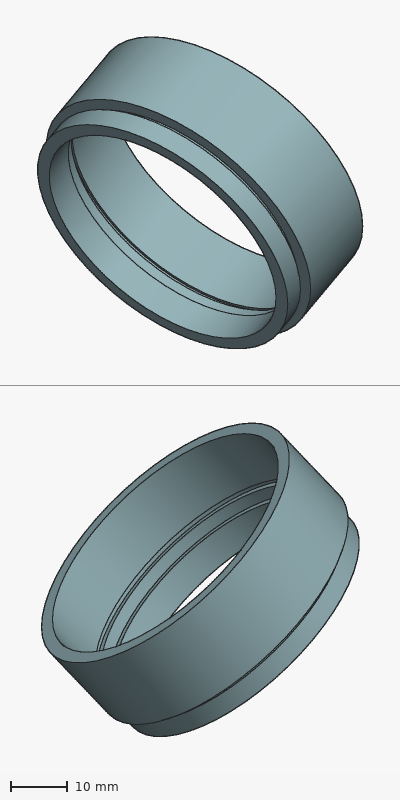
import cadquery as cq

body_diameter = 56.0
body_length = 16.5
spigot_diameter = 53.0
spigot_length = 4.0
neck_diameter = 51.0
neck_length = 1.0

front_bore_diameter = 48.0
front_bore_length = 6.0
seat_diameter = 50.0
seat_length = 2.5
groove_diameter = 52.0
groove_length = 1.0
rear_bore_diameter = 51.0

front_y = 0.0
total_length = spigot_length + neck_length + body_length
rear_bore_length = total_length - front_bore_length - seat_length - groove_length


def stacked_cylinders(sections):
    """Join (diameter, length) cylinders end to end along +Y."""
    stack = cq.Workplane("XZ")
    start_y = front_y
    for diameter, length in sections:
        plane = cq.Workplane("XZ", origin=(0, start_y, 0))
        stack = stack.union(plane.circle(diameter / 2).extrude(-length))
        start_y += length
    return stack


outside = stacked_cylinders([
    (spigot_diameter, spigot_length),
    (neck_diameter, neck_length),
    (body_diameter, body_length),
])
opening = stacked_cylinders([
    (front_bore_diameter, front_bore_length),
    (seat_diameter, seat_length),
    (groove_diameter, groove_length),
    (rear_bore_diameter, rear_bore_length),
])

result = outside.cut(opening)